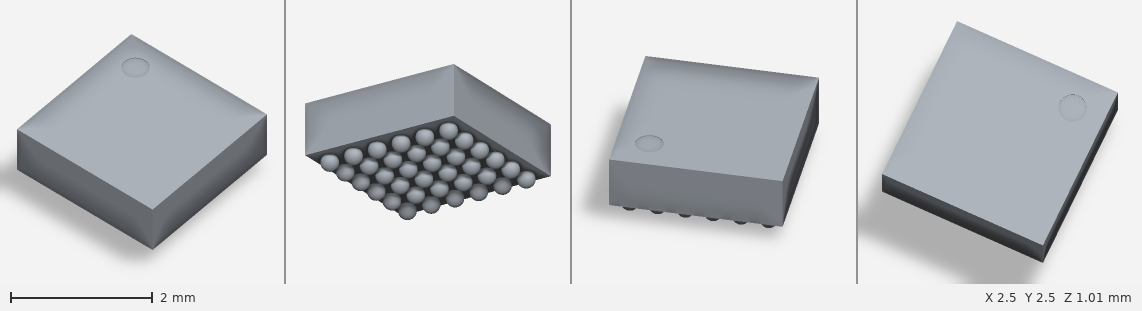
import cadquery as cq

body_side = 2.5
total_height = 1.01
body_height = 0.8
standoff = total_height - body_height

ball_diameter = 0.265
ball_radius = ball_diameter / 2
ball_pitch = 0.4
balls_per_side = 6

mark_diameter = 0.4
mark_depth = 0.01
mark_offset = 0.77


def make_body():
    """Square block whose underside sits at the standoff height."""
    return cq.Workplane("XY").workplane(offset=standoff).rect(body_side, body_side).extrude(body_height)


def make_balls():
    """Full square grid of solder balls resting on Z = 0 and sunk into the body."""
    return (
        cq.Workplane("XY")
        .workplane(offset=ball_radius)
        .rarray(ball_pitch, ball_pitch, balls_per_side, balls_per_side)
        .sphere(ball_radius)
    )


def make_pin_one_mark():
    """Shallow disc removed from the top face near the -X, +Y corner."""
    return (
        cq.Workplane("XY")
        .workplane(offset=total_height - mark_depth)
        .center(-mark_offset, mark_offset)
        .circle(mark_diameter / 2)
        .extrude(mark_depth)
    )


result = make_body().union(make_balls()).cut(make_pin_one_mark())